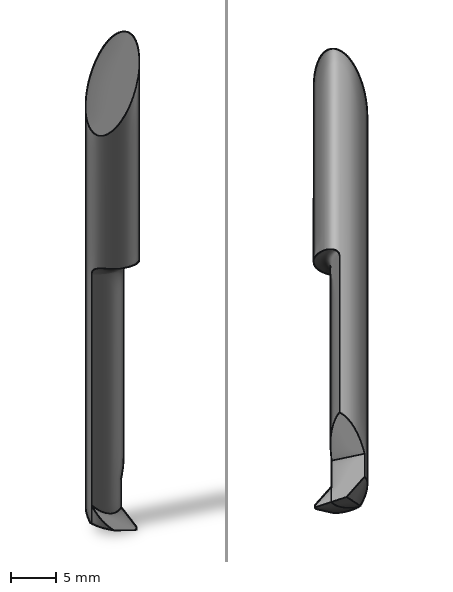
import cadquery as cq
import math

length = 57.45
diameter = 6.0
radius = diameter / 2
top_slope_angle = 60.0

neck_offset = 2.0
shoulder_z = 31.5
neck_fillet = 1.05

face_y = 0.3
face_top_z = 5.65
face_runout_angle = 60.0

heel_z = 2.65
relief_slope = 0.13
flank_root_z = 2.25
tip_land = 0.25
flank_drop = 0.36

margin = 1.15
reach = radius + margin


def side_prism(points):
    """Prism with a YZ outline, running right across the bar along X."""
    return cq.Workplane("YZ").polyline(points).close().extrude(reach, both=True)


def solid_under(height_at, base_z):
    """Block on a level base whose flat top has the height given for each X and Y."""
    def wire_at(y):
        corners = [
            (-reach, y, base_z),
            (reach, y, base_z),
            (reach, y, height_at(reach, y)),
            (-reach, y, height_at(-reach, y)),
        ]
        return cq.Wire.makePolygon([cq.Vector(*corner) for corner in corners], close=True)

    return cq.Workplane(cq.Solid.makeLoft([wire_at(-reach), wire_at(reach)], True))


def end_face_height(x, y):
    return relief_slope * (radius - x + face_y - y)


def flank_height(x, y):
    neck_edge_x = radius - neck_offset
    fall = (flank_root_z - tip_land) / (radius - neck_edge_x)
    return flank_root_z - fall * (x - neck_edge_x) - flank_drop * (face_y - y)


def make_bar():
    """Round bar with its upper end bevelled towards -Y."""
    bar = cq.Workplane("XY").circle(radius).extrude(length)
    slope = math.tan(math.radians(top_slope_angle))
    bevel = side_prism([
        (-reach, length - slope * (radius + reach)),
        (reach, length + slope * margin),
        (-reach, length + slope * margin),
    ])
    return bar.cut(bevel)


def make_neck_relief():
    """Ring around the offset neck axis, with a concave fillet under the shoulder."""
    outer = diameter + neck_offset
    diagonal = neck_fillet * math.sqrt(0.5)
    fillet_center = (radius + neck_fillet, shoulder_z - neck_fillet)
    profile = (
        cq.Workplane("XZ")
        .moveTo(radius, -margin)
        .lineTo(radius, fillet_center[1])
        .threePointArc(
            (fillet_center[0] - diagonal, fillet_center[1] + diagonal),
            (fillet_center[0], shoulder_z),
        )
        .lineTo(outer, shoulder_z)
        .lineTo(outer, -margin)
        .close()
    )
    return profile.revolve(360, (0, 0, 0), (0, 1, 0)).translate((-neck_offset, 0, 0))


def make_face_cut():
    """Space behind the flat cutting face and its sloping run-out."""
    runout_rise = math.tan(math.radians(face_runout_angle)) * (reach - face_y)
    return side_prism([
        (face_y, -margin),
        (face_y, face_top_z),
        (reach, face_top_z + runout_rise),
        (reach, -margin),
    ])


def make_heel_cut():
    """45 degree bevel on the -X side of the lower end."""
    corner_x = heel_z - radius + margin
    outline = [
        (-reach, -margin),
        (corner_x, -margin),
        (-reach, heel_z + margin),
    ]
    return cq.Workplane("XZ").polyline(outline).close().extrude(reach, both=True)


def make_shank():
    shank = make_bar().cut(make_neck_relief()).cut(make_face_cut())
    return shank.cut(make_heel_cut()).cut(solid_under(end_face_height, -margin))


def make_tip():
    """Cutting point that sits against the neck, inside the outline of the bar."""
    neck = cq.Workplane("XY").center(-neck_offset, 0).circle(radius).extrude(shoulder_z)
    tip = cq.Workplane("XY").circle(radius).extrude(shoulder_z).cut(neck)
    tip = tip.cut(make_face_cut()).intersect(solid_under(flank_height, -reach))
    return tip.cut(solid_under(end_face_height, -margin))


shank = make_shank()
tip = make_tip()

result = cq.Compound.makeCompound([shank.val(), tip.val()])